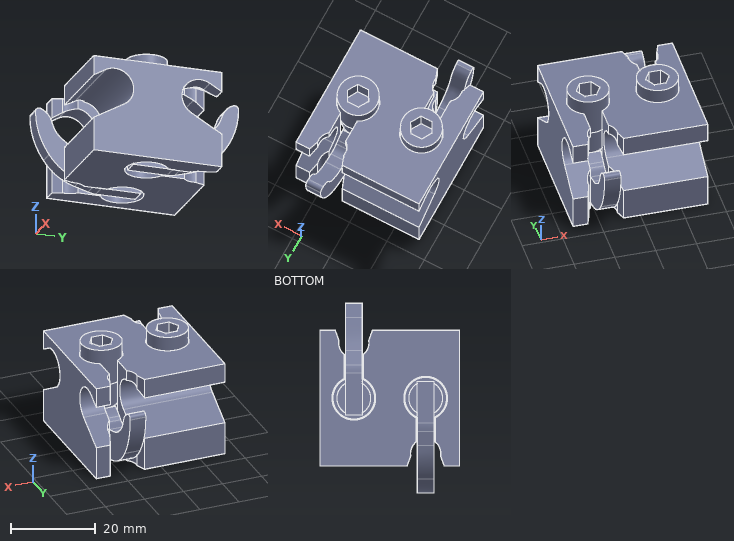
import cadquery as cq
import math

BLOCK_LENGTH = 33.0
BLOCK_WIDTH = 32.15
BLOCK_HEIGHT = 23.98

SIDE_TURNS = (0, 180)

GROOVE_RADIUS = 4.65
GROOVE_OFFSET = 10.75
GROOVE_HEIGHT = 16.75
GROOVE_FLANK_ANGLE = 30.0

CLAMP_OFFSET = 8.5
BORE_RADIUS = 5.1
SLOT_WIDTH = 4.45
MOUTH_RADIUS = 3.55
MOUTH_DEPTH = 3.0
FLARE_DEPTH = 2.42
FLARE_INNER_WIDTH = 7.0
FLARE_OUTER_WIDTH = 8.75

HEAD_RADIUS = 5.0
HEAD_BOTTOM = 18.2
HEAD_TOP = 27.5
SHANK_RADIUS = 4.0
SHANK_BOTTOM = 11.5
SOCKET_SIDES = 6
SOCKET_ACROSS_FLATS = 5.0
SOCKET_DEPTH = 5.0

HOOK_THICKNESS = 4.0
HOOK_REACH = 22.45
HOOK_BOTTOM = 0.2
OUTER_RADIUS = 18.0
OUTER_HEIGHT = 17.5
OUTER_END_HEIGHT = 6.95
BELLY_OFFSET = 16.2
BELLY_HEIGHT = 3.9
HEEL_ANGLE = 15.5
HEEL_TOP_OFFSET = 11.22
HEEL_TOP = 1.4
HEEL_BOTTOM = 0.45
HEEL_ROUND_LENGTH = 1.95
TIP_RADIUS = 1.0
TIP_LEAN = 21.0
RAMP_TOP_OFFSET = 6.38
RAMP_ANGLE = 38.0
DIP_RADIUS = 3.0
DIP_OFFSET = 9.02
DIP_FLOOR = 8.8
FLOOR_ANGLE = 15.0
FLOOR_END_OFFSET = 12.45
SEAT_RADIUS = 8.55
SEAT_END_ANGLE = 77.0
SEAT_STEPS = 4


def point_below(center, radius, angle):
    """Point on a circle, at an angle in degrees measured from straight down towards +Y."""
    turn = math.radians(angle)
    return (center[0] + radius * math.sin(turn), center[1] - radius * math.cos(turn))


def slope(angle):
    """Rise per unit of run for an angle in degrees."""
    return math.tan(math.radians(angle))


def outward_and_up(angle):
    """Direction towards +Y that rises above horizontal by an angle in degrees."""
    turn = math.radians(angle)
    return (math.cos(turn), math.sin(turn))


def groove_cutter():
    """Round-bottomed groove on the +Y side, opening outward between two straight flanks."""
    center = (GROOVE_OFFSET, GROOVE_HEIGHT)
    lower = point_below(center, GROOVE_RADIUS, -GROOVE_FLANK_ANGLE)
    inner = (GROOVE_OFFSET - GROOVE_RADIUS, GROOVE_HEIGHT)
    upper = point_below(center, GROOVE_RADIUS, 180 - GROOVE_FLANK_ANGLE)
    side = BLOCK_WIDTH / 2
    lower_side = lower[1] - (side - lower[0]) * slope(GROOVE_FLANK_ANGLE)
    upper_side = upper[1] - (side - upper[0]) * slope(GROOVE_FLANK_ANGLE)
    return (
        cq.Workplane("YZ")
        .moveTo(side, lower_side)
        .lineTo(*lower)
        .threePointArc(inner, upper)
        .lineTo(side, upper_side)
        .close()
        .extrude(BLOCK_LENGTH / 2, both=True)
    )


def bore_and_slot_cutter():
    """Through bore at +X with its hook slot, which widens towards the +Y side."""
    side = BLOCK_WIDTH / 2
    mouth_center = side - MOUTH_DEPTH
    plan = cq.Workplane("XY").center(CLAMP_OFFSET, 0)
    bore = plan.circle(BORE_RADIUS).extrude(BLOCK_HEIGHT)
    slot = plan.center(0, side / 2).rect(SLOT_WIDTH, side).extrude(BLOCK_HEIGHT)
    mouth = plan.center(0, mouth_center).circle(MOUTH_RADIUS).extrude(BLOCK_HEIGHT)
    flare = (
        plan.moveTo(-FLARE_OUTER_WIDTH / 2, side)
        .lineTo(-FLARE_INNER_WIDTH / 2, side - FLARE_DEPTH)
        .lineTo(FLARE_INNER_WIDTH / 2, side - FLARE_DEPTH)
        .lineTo(FLARE_OUTER_WIDTH / 2, side)
        .close()
        .extrude(BLOCK_HEIGHT)
    )
    trim = (
        plan.center(0, side - FLARE_DEPTH - MOUTH_RADIUS)
        .rect(2 * MOUTH_RADIUS, 2 * MOUTH_RADIUS)
        .extrude(BLOCK_HEIGHT)
    )
    return bore.union(slot).union(mouth.intersect(trim)).union(flare)


def turn_about_center(body, angle):
    """A body turned about the vertical centre line by an angle in degrees."""
    return body.rotate((0, 0, 0), (0, 0, 1), angle)


def make_housing():
    housing = cq.Workplane("XY").box(BLOCK_LENGTH, BLOCK_WIDTH, BLOCK_HEIGHT, centered=(True, True, False))
    for cutter in (groove_cutter(), bore_and_slot_cutter()):
        for turn in SIDE_TURNS:
            housing = housing.cut(turn_about_center(cutter, turn))
    return housing


def hook():
    """Flat hook at +X that reaches out from below the shank towards +Y and curls up."""
    dip_center = (DIP_OFFSET, DIP_FLOOR + DIP_RADIUS)
    ramp_bottom = point_below(dip_center, DIP_RADIUS, -RAMP_ANGLE)
    dip_bottom = (DIP_OFFSET, DIP_FLOOR)
    floor_start = point_below(dip_center, DIP_RADIUS, FLOOR_ANGLE)
    ramp_top_height = ramp_bottom[1] + (ramp_bottom[0] - RAMP_TOP_OFFSET) * slope(RAMP_ANGLE)

    floor_end_height = floor_start[1] + (FLOOR_END_OFFSET - floor_start[0]) * slope(FLOOR_ANGLE)
    floor_end = (FLOOR_END_OFFSET, floor_end_height)
    seat_center = point_below(floor_end, SEAT_RADIUS, 180 + FLOOR_ANGLE)
    seat_turn = (SEAT_END_ANGLE - FLOOR_ANGLE) / SEAT_STEPS
    seat_angles = [SEAT_END_ANGLE - step * seat_turn for step in range(SEAT_STEPS + 1)]
    seat_points = [point_below(seat_center, SEAT_RADIUS, angle) for angle in seat_angles]

    outer_center = (HOOK_REACH - OUTER_RADIUS, OUTER_HEIGHT)
    outer_end_angle = math.degrees(math.acos((OUTER_HEIGHT - OUTER_END_HEIGHT) / OUTER_RADIUS))
    outer_end = point_below(outer_center, OUTER_RADIUS, outer_end_angle)
    outer_middle = point_below(outer_center, OUTER_RADIUS, (outer_end_angle + 90) / 2)
    heel_bottom_offset = HEEL_TOP_OFFSET - (HEEL_TOP - HEEL_BOTTOM) / slope(HEEL_ANGLE)
    tip_start = (HOOK_REACH, OUTER_HEIGHT)
    tip_center = (HOOK_REACH - TIP_RADIUS, OUTER_HEIGHT)
    tip_end = point_below(tip_center, TIP_RADIUS, 180 + TIP_LEAN)

    near_side = CLAMP_OFFSET - HOOK_THICKNESS / 2
    return (
        cq.Workplane("YZ", origin=(near_side, 0, 0))
        .moveTo(*ramp_bottom)
        .lineTo(RAMP_TOP_OFFSET, ramp_top_height)
        .tangentArcPoint((SHANK_RADIUS, SHANK_BOTTOM), relative=False)
        .lineTo(-SHANK_RADIUS, SHANK_BOTTOM)
        .lineTo(-SHANK_RADIUS, HOOK_BOTTOM)
        .lineTo(heel_bottom_offset - HEEL_ROUND_LENGTH, HOOK_BOTTOM)
        .tangentArcPoint((heel_bottom_offset, HEEL_BOTTOM), relative=False)
        .lineTo(HEEL_TOP_OFFSET, HEEL_TOP)
        .spline(
            [(BELLY_OFFSET, BELLY_HEIGHT), outer_end],
            tangents=[outward_and_up(HEEL_ANGLE), outward_and_up(outer_end_angle)],
            includeCurrent=True,
        )
        .threePointArc(outer_middle, tip_start)
        .tangentArcPoint(tip_end, relative=False)
        .spline(
            seat_points,
            tangents=[outward_and_up(180 + TIP_LEAN), outward_and_up(180 + FLOOR_ANGLE)],
            includeCurrent=True,
        )
        .lineTo(*floor_start)
        .threePointArc(dip_bottom, ramp_bottom)
        .close()
        .extrude(HOOK_THICKNESS)
    )


def screw():
    """Socket-head screw at +X, with a narrower shank below the head."""
    axis = cq.Workplane("XY").center(CLAMP_OFFSET, 0)
    head = axis.workplane(offset=HEAD_BOTTOM).circle(HEAD_RADIUS).extrude(HEAD_TOP - HEAD_BOTTOM)
    shank = axis.workplane(offset=SHANK_BOTTOM).circle(SHANK_RADIUS).extrude(HEAD_BOTTOM - SHANK_BOTTOM)
    half_facet_angle = math.pi / SOCKET_SIDES
    across_corners = SOCKET_ACROSS_FLATS / math.cos(half_facet_angle)
    socket = axis.workplane(offset=HEAD_TOP).polygon(SOCKET_SIDES, across_corners).extrude(-SOCKET_DEPTH)
    return head.union(shank).cut(socket)


def make_clamp(turn):
    """One-piece screw and hook, turned about the vertical centre line by an angle in degrees."""
    clamp = screw().union(hook())
    return turn_about_center(clamp, turn)


housing = make_housing()

clamps = [make_clamp(turn) for turn in SIDE_TURNS]

result = cq.Compound.makeCompound([housing.val(), *[clamp.val() for clamp in clamps]])